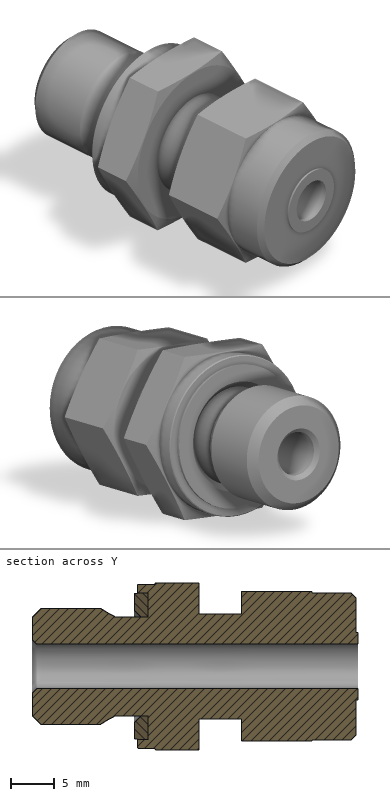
import cadquery as cq
import math


TAPER_START = 7.75
UNDERCUT_START = 9.4
SEAL_FRONT = 11.58
FLANGE_FACE = 11.9
SEAL_SEAT = 13.1
STUD_HEX_START = 13.9
STUD_HEX_END = 18.98
TUBE_HEX_START = 23.7
TUBE_HEX_END = 31.8
COLLAR_END = 36.78
LENGTH = 37.0

STUD_RADIUS = 6.62
STUD_CHAMFER = 0.95
UNDERCUT_RADIUS = 5.65
FLANGE_RADIUS = 9.35
FLANGE_CHAMFER = 0.1
NECK_RADIUS = 6.0
COLLAR_RADIUS = 8.4
COLLAR_CHAMFER = 0.6
END_LIP_RADIUS = 3.9
BORE_RADIUS = 2.5
BORE_CHAMFER = 0.48

SEAL_RADIUS = 8.32
SEAL_CHAMFER = 0.7

STUD_HEX_FLATS = 19.0
TUBE_HEX_FLATS = 17.02
BEVEL_ANGLE = 15.0
BEVEL_FACE_RATIO = 0.99


def revolve_about_x(profile):
    """Solid of revolution from (x, radius) points, closed along the X axis."""
    first_x = profile[0][0]
    last_x = profile[-1][0]
    outline = [(first_x, 0), *profile, (last_x, 0)]
    return cq.Workplane("XY").polyline(outline).close().revolve(360, (0, 0, 0), (1, 0, 0))


def bevelled_hexagon(start, end, across_flats):
    """Hexagonal prism with flats facing +Z and -Z and both ends bevelled by a shallow cone."""
    corner_radius = across_flats / math.sqrt(3)
    face_radius = BEVEL_FACE_RATIO * across_flats / 2
    bevel_depth = (corner_radius - face_radius) * math.tan(math.radians(BEVEL_ANGLE))
    prism = cq.Workplane("YZ", origin=(start, 0, 0)).polygon(6, 2 * corner_radius).extrude(end - start)
    envelope = revolve_about_x([
        (start, face_radius),
        (start + bevel_depth, corner_radius),
        (end - bevel_depth, corner_radius),
        (end, face_radius),
    ])
    return prism.intersect(envelope)


def make_turned_core():
    """All the round stretches of the body: stud, undercut, flange, neck, collar and end lip."""
    return revolve_about_x([
        (0, STUD_RADIUS - STUD_CHAMFER),
        (STUD_CHAMFER, STUD_RADIUS),
        (TAPER_START, STUD_RADIUS),
        (UNDERCUT_START, UNDERCUT_RADIUS),
        (SEAL_SEAT, UNDERCUT_RADIUS),
        (SEAL_SEAT, SEAL_RADIUS),
        (FLANGE_FACE, SEAL_RADIUS),
        (FLANGE_FACE, FLANGE_RADIUS - FLANGE_CHAMFER),
        (FLANGE_FACE + FLANGE_CHAMFER, FLANGE_RADIUS),
        (STUD_HEX_START, FLANGE_RADIUS),
        (STUD_HEX_START, NECK_RADIUS),
        (TUBE_HEX_END, NECK_RADIUS),
        (TUBE_HEX_END, COLLAR_RADIUS),
        (COLLAR_END - COLLAR_CHAMFER, COLLAR_RADIUS),
        (COLLAR_END, COLLAR_RADIUS - COLLAR_CHAMFER),
        (COLLAR_END, END_LIP_RADIUS),
        (LENGTH, END_LIP_RADIUS),
    ])


def make_bore():
    """Through bore with a chamfered mouth at the stud tip."""
    return revolve_about_x([
        (0, BORE_RADIUS + BORE_CHAMFER),
        (BORE_CHAMFER, BORE_RADIUS),
        (LENGTH, BORE_RADIUS),
    ])


def make_body():
    """Turned core joined to its two hexagons and bored through."""
    stud_hexagon = bevelled_hexagon(STUD_HEX_START, STUD_HEX_END, STUD_HEX_FLATS)
    tube_hexagon = bevelled_hexagon(TUBE_HEX_START, TUBE_HEX_END, TUBE_HEX_FLATS)
    return make_turned_core().union(stud_hexagon).union(tube_hexagon).cut(make_bore())


def make_seal_ring():
    """Ring that fills the flange recess, stands proud of it and is chamfered around the undercut."""
    outline = [
        (SEAL_FRONT, UNDERCUT_RADIUS + SEAL_CHAMFER),
        (SEAL_FRONT, SEAL_RADIUS),
        (SEAL_SEAT, SEAL_RADIUS),
        (SEAL_SEAT, UNDERCUT_RADIUS),
        (SEAL_FRONT + SEAL_CHAMFER, UNDERCUT_RADIUS),
    ]
    return cq.Workplane("XY").polyline(outline).close().revolve(360, (0, 0, 0), (1, 0, 0))


body = make_body()
seal_ring = make_seal_ring()
result = cq.Compound.makeCompound([body.solids().val(), seal_ring.val()])